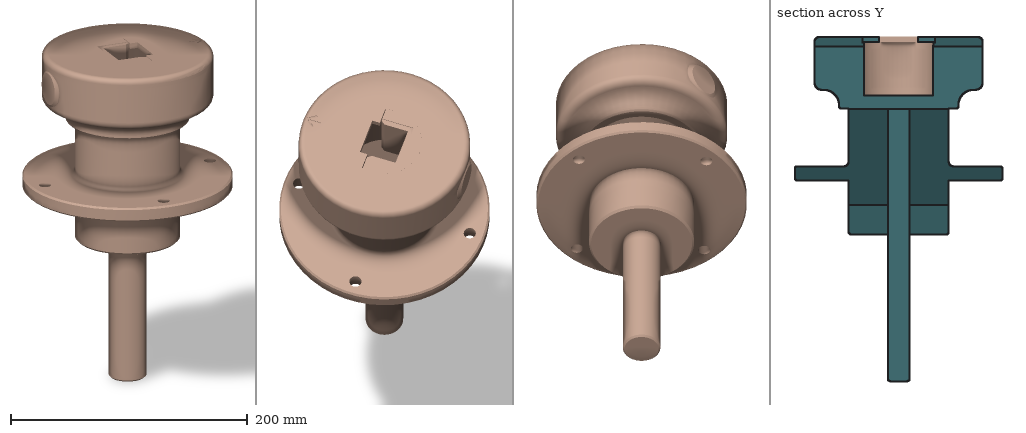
import cadquery as cq
import math

CAP_BOTTOM = 124.3
CAP_TOP = 149.5
FLANGE_BOTTOM = 170.0
FLANGE_TOP = 182.3
HEAD_BOTTOM = 230.7
RIM_BOTTOM = 246.5
RIM_TOP = 283.5
TOP = 291.7

SHAFT_DIA = 31.8
SHAFT_CHAMFER = 1.5
SLEEVE_DIA = 89.0
CAP_CHAMFER = 1.8
FLANGE_DIA = 178.0
FLANGE_CHAMFER = 1.5
FLANGE_ROOT_RADIUS = 3.5
BOLT_CIRCLE_RADIUS = 76.0
BOLT_HOLE_DIA = 10.2
BOLT_HOLE_COUNT = 4

HEAD_DIA = 145.0
COLLAR_DIA = 104.7
COLLAR_CHAMFER = 1.5
COLLAR_FLARE_RADIUS = 12.3
RIM_FILLET = 6.5
LID_FILLET = 4.7

SOCKET_DIA = 63.5
SOCKET_BOTTOM = 242.0
SOCKET_FLAT_Y = 9.0
HOLE_WIDTH = 32.7
HOLE_FRONT_Y = -15.5
HOLE_FLARE_Y = 5.5
HOLE_MOUTH_WIDTH = 38.0
HOLE_FLOOR = 248.0
STEP_WIDTH = 41.5
STEP_FRONT_Y = -19.0
STEP_DEPTH = 0.5

PLATE_WIDTH = 60.7
PLATE_FRONT_Y = 9.5
PLATE_BACK_Y = 56.5
PLATE_THICKNESS = 5.0
PLATE_CORNER_RADIUS = 5.3
PLATE_NOTCH_BACK_Y = 16.3

BUTTON_DIA = 34.5
BUTTON_FACE_DIA = 27.5
BUTTON_FACE_Y = -73.2
BUTTON_TAPER = 2.2
BUTTON_LENGTH = 8.8
BUTTON_Z = 268.0

ARROW_TIP_Y = 70.0
ARROW_BARB_X = 5.5
ARROW_BARB_Y = 61.8
ARROW_STEM_WIDTH = 1.0
ARROW_BARB_WIDTH = 1.5
ARROW_DEPTH = 0.45


def cylinder(diameter, bottom, top):
    """Solid cylinder on the common axis."""
    return cq.Workplane("XY").workplane(offset=bottom).circle(diameter / 2).extrude(top - bottom)


def box_between(width, front_y, back_y, bottom, top):
    """Block centred on X = 0."""
    depth = back_y - front_y
    block = cq.Workplane("XY").box(width, depth, top - bottom, centered=(True, False, False))
    return block.translate((0, front_y, bottom))


def make_shaft():
    return cylinder(SHAFT_DIA, 0, HEAD_BOTTOM).faces("<Z").chamfer(SHAFT_CHAMFER)


def make_cap():
    cap = cylinder(SLEEVE_DIA, CAP_BOTTOM, CAP_TOP).faces("<Z").chamfer(CAP_CHAMFER)
    return cap.cut(cylinder(SHAFT_DIA, CAP_BOTTOM, CAP_TOP))


def make_flange_sleeve():
    """Sleeve around the shaft, with a bolted flange filleted into its upper part."""
    flange = cylinder(FLANGE_DIA, FLANGE_BOTTOM, FLANGE_TOP).edges().chamfer(FLANGE_CHAMFER)
    root_radius = SLEEVE_DIA / 2 + FLANGE_ROOT_RADIUS
    root = (
        cq.Workplane("XZ")
        .moveTo(0, FLANGE_TOP)
        .lineTo(root_radius, FLANGE_TOP)
        .radiusArc((SLEEVE_DIA / 2, FLANGE_TOP + FLANGE_ROOT_RADIUS), FLANGE_ROOT_RADIUS)
        .lineTo(0, FLANGE_TOP + FLANGE_ROOT_RADIUS)
        .close()
        .revolve(360, (0, 0), (0, 1))
    )
    bolt_holes = (
        cq.Workplane("XY")
        .workplane(offset=FLANGE_BOTTOM)
        .polarArray(BOLT_CIRCLE_RADIUS, 0, 360, BOLT_HOLE_COUNT)
        .circle(BOLT_HOLE_DIA / 2)
        .extrude(FLANGE_TOP - FLANGE_BOTTOM)
    )
    sleeve = cylinder(SLEEVE_DIA, CAP_TOP, HEAD_BOTTOM).union(flange).union(root)
    return sleeve.cut(bolt_holes).cut(cylinder(SHAFT_DIA, CAP_TOP, HEAD_BOTTOM))


def make_button():
    """Round button with a tapered edge, standing slightly out of the head."""
    taper_y = BUTTON_FACE_Y + BUTTON_TAPER
    back_y = BUTTON_FACE_Y + BUTTON_LENGTH
    half_profile = [
        (0, BUTTON_FACE_Y),
        (BUTTON_FACE_DIA / 2, BUTTON_FACE_Y),
        (BUTTON_DIA / 2, taper_y),
        (BUTTON_DIA / 2, back_y),
        (0, back_y),
    ]
    button = cq.Workplane("XY").polyline(half_profile).close().revolve(360, (0, 0), (0, 1))
    return button.translate((0, 0, BUTTON_Z))


def make_socket():
    """Plug whose square hole is open on its flat side, with a step around the hole."""
    plug = cylinder(SOCKET_DIA, SOCKET_BOTTOM, TOP)
    behind_flat = box_between(SOCKET_DIA, SOCKET_FLAT_Y, SOCKET_DIA, SOCKET_BOTTOM, TOP)
    step = box_between(STEP_WIDTH, STEP_FRONT_Y, SOCKET_FLAT_Y, TOP - STEP_DEPTH, TOP)
    hole = (
        cq.Workplane("XY")
        .workplane(offset=HOLE_FLOOR)
        .polyline([
            (-HOLE_WIDTH / 2, HOLE_FRONT_Y),
            (HOLE_WIDTH / 2, HOLE_FRONT_Y),
            (HOLE_WIDTH / 2, HOLE_FLARE_Y),
            (HOLE_MOUTH_WIDTH / 2, SOCKET_FLAT_Y),
            (-HOLE_MOUTH_WIDTH / 2, SOCKET_FLAT_Y),
            (-HOLE_WIDTH / 2, HOLE_FLARE_Y),
        ])
        .close()
        .extrude(TOP - HOLE_FLOOR)
    )
    return plug.cut(behind_flat).cut(step).cut(hole)


def make_plate_blank():
    """Cover plate without its notch, which is also the shape of its seat in the lid."""
    blank = box_between(PLATE_WIDTH, PLATE_FRONT_Y, PLATE_BACK_Y, TOP - PLATE_THICKNESS, TOP)
    return blank.edges("|Z and >Y").fillet(PLATE_CORNER_RADIUS)


def make_plate():
    notch = box_between(HOLE_WIDTH, PLATE_FRONT_Y, PLATE_NOTCH_BACK_Y, TOP - PLATE_THICKNESS, TOP)
    return make_plate_blank().cut(notch)


def make_arrow():
    """Stem and two barbs that meet at the tip, as a cutter for the engraving."""
    bottom = TOP - ARROW_DEPTH
    arrow = box_between(ARROW_STEM_WIDTH, PLATE_BACK_Y, ARROW_TIP_Y, bottom, TOP)
    drop = ARROW_TIP_Y - ARROW_BARB_Y
    length = math.hypot(ARROW_BARB_X, drop)
    barb_angle = math.degrees(math.atan2(ARROW_BARB_X, drop))
    for side in (-1, 1):
        barb = box_between(ARROW_BARB_WIDTH, -length, 0, bottom, TOP)
        barb = barb.rotate((0, 0, 0), (0, 0, 1), side * barb_angle)
        arrow = arrow.union(barb.translate((0, ARROW_TIP_Y, 0)))
    return arrow


def make_head(button):
    """Wide rim that flares in to a collar, bored from above for the socket."""
    collar_radius = COLLAR_DIA / 2
    rim_radius = HEAD_DIA / 2
    head = (
        cq.Workplane("XZ")
        .moveTo(0, HEAD_BOTTOM)
        .lineTo(collar_radius - COLLAR_CHAMFER, HEAD_BOTTOM)
        .lineTo(collar_radius, HEAD_BOTTOM + COLLAR_CHAMFER)
        .lineTo(collar_radius, RIM_BOTTOM - COLLAR_FLARE_RADIUS)
        .radiusArc((collar_radius + COLLAR_FLARE_RADIUS, RIM_BOTTOM), COLLAR_FLARE_RADIUS)
        .lineTo(rim_radius - RIM_FILLET, RIM_BOTTOM)
        .radiusArc((rim_radius, RIM_BOTTOM + RIM_FILLET), -RIM_FILLET)
        .lineTo(rim_radius, RIM_TOP)
        .lineTo(0, RIM_TOP)
        .close()
        .revolve(360, (0, 0), (0, 1))
    )
    return head.cut(cylinder(SOCKET_DIA, SOCKET_BOTTOM, RIM_TOP)).cut(button)


def make_lid(button):
    """Rounded disc on the head, with the socket bore, the plate seat and the arrow."""
    lid = cylinder(HEAD_DIA, RIM_TOP, TOP).faces(">Z").edges().fillet(LID_FILLET)
    lid = lid.cut(cylinder(SOCKET_DIA, RIM_TOP, TOP)).cut(make_plate_blank())
    return lid.cut(make_arrow()).cut(button)


shaft = make_shaft()
cap = make_cap()
flange_sleeve = make_flange_sleeve()
button = make_button()
head = make_head(button)
lid = make_lid(button)
socket = make_socket()
plate = make_plate()

result = cq.Compound.makeCompound([
    shaft.val(),
    cap.val(),
    flange_sleeve.val(),
    head.val(),
    lid.val(),
    socket.val(),
    plate.val(),
    button.val(),
])